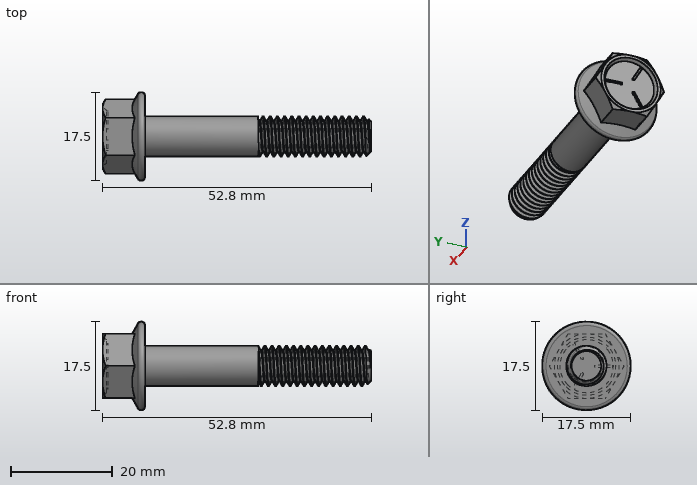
import cadquery as cq
import math


inch = 25.4

major_radius = 5 / 16 * inch / 2
shank_length = 1.75 * inch
thread_length = shank_length / 2
thread_start = shank_length - thread_length
threads_per_inch = 18
pitch = inch / threads_per_inch
flank_angle = math.radians(30)
crest_width = pitch / 8
root_width = pitch / 8
thread_depth = (pitch - crest_width - root_width) / 2 / math.tan(flank_angle)
minor_radius = major_radius - thread_depth
first_groove_offset = 0.26
tip_radius = 2.9
tip_chamfer = major_radius - tip_radius

overall_length = 52.78
head_height = overall_length - shank_length
across_flats = 0.5 * inch
across_corners = across_flats / math.cos(math.radians(30))
head_face_radius = across_flats / 2
head_chamfer_angle = math.radians(30)

flange_radius = 11 / 16 * inch / 2
rim_radius = 0.75
flange_slope = math.radians(30)

recess_mouth_radius = 5.72
recess_floor_radius = 5.23
recess_depth = 0.68
mark_count = 3
mark_inner_radius = 1.52
mark_outer_radius = 5.06
mark_width = 0.46
mark_depth = 0.3


def revolve_about_x(profile):
    """Turn a closed profile drawn as (X, radius) about the bolt axis."""
    return profile.revolve(360, (0, 0, 0), (1, 0, 0))


def make_hex():
    """Hex prism with two corners on the Y axis and a chamfered outer end."""
    prism = cq.Workplane("YZ").polygon(6, across_corners).extrude(-head_height)
    outer_radius = across_corners
    chamfer_depth = (outer_radius - head_face_radius) * math.tan(head_chamfer_angle)
    envelope = revolve_about_x(
        cq.Workplane("XY")
        .moveTo(-head_height, 0)
        .lineTo(-head_height, head_face_radius)
        .lineTo(-head_height + chamfer_depth, outer_radius)
        .lineTo(0, outer_radius)
        .lineTo(0, 0)
        .close()
    )
    return prism.intersect(envelope)


def make_flange():
    """Conical flange whose rounded rim is tangent to the cone and the bearing face."""
    rim_center_radius = flange_radius - rim_radius
    cone_edge_x = -rim_radius * (1 + math.cos(flange_slope))
    cone_edge_radius = rim_center_radius + rim_radius * math.sin(flange_slope)
    cone_apex_x = cone_edge_x - cone_edge_radius * math.tan(flange_slope)
    return revolve_about_x(
        cq.Workplane("XY")
        .lineTo(0, rim_center_radius)
        .threePointArc((-rim_radius, flange_radius), (cone_edge_x, cone_edge_radius))
        .lineTo(cone_apex_x, 0)
        .close()
    )


def make_recess():
    """Tapered round recess in the outer face of the head."""
    return revolve_about_x(
        cq.Workplane("XY")
        .moveTo(-head_height, 0)
        .lineTo(-head_height, recess_mouth_radius)
        .lineTo(-head_height + recess_depth, recess_floor_radius)
        .lineTo(-head_height + recess_depth, 0)
        .close()
    )


def make_mark(angle):
    """Cutter for a radial groove in the recess floor, with a rounded inner end."""
    half_width = mark_width / 2
    round_center = mark_inner_radius + half_width
    slot = (
        cq.Workplane("YZ", origin=(-head_height + recess_depth, 0, 0))
        .moveTo(mark_outer_radius, half_width)
        .lineTo(round_center, half_width)
        .threePointArc((mark_inner_radius, 0), (round_center, -half_width))
        .lineTo(mark_outer_radius, -half_width)
        .close()
        .extrude(mark_depth)
    )
    return slot.rotate((0, 0, 0), (1, 0, 0), angle)


def make_thread_groove():
    """Right-handed V groove with a flat root, running along +Z past both thread ends."""
    clearance = 0.05
    root_half = root_width / 2
    outer_half = root_half + (thread_depth + clearance) * math.tan(flank_angle)
    outer_radius = major_radius + clearance
    helix_length = thread_length + 2 * pitch
    helix = cq.Workplane(cq.Wire.makeHelix(pitch, helix_length, minor_radius))
    groove = (
        cq.Workplane("XZ")
        .moveTo(minor_radius, -root_half)
        .lineTo(outer_radius, -outer_half)
        .lineTo(outer_radius, outer_half)
        .lineTo(minor_radius, root_half)
        .close()
        .sweep(helix, isFrenet=True)
    )
    return groove.translate((0, 0, first_groove_offset - pitch))


def make_threaded_end():
    """Threaded end with a 45 degree chamfered tip, starting square at the plain shank."""
    overlap = 3 * pitch
    seam_angle = 37
    rod = (
        cq.Workplane("XY", origin=(0, 0, -overlap))
        .circle(major_radius)
        .extrude(thread_length + 2 * overlap)
        .rotate((0, 0, 0), (0, 0, 1), seam_angle)
    )
    margin = 1
    envelope = (
        cq.Workplane("XY")
        .circle(major_radius + margin)
        .extrude(thread_length)
        .faces(">Z")
        .chamfer(tip_chamfer + margin)
    )
    threaded = rod.cut(make_thread_groove()).intersect(envelope)
    along_bolt = threaded.rotate((0, 0, 0), (1, 1, 1), 120)
    return along_bolt.translate((thread_start, 0, 0))


head = make_hex().union(make_flange()).cut(make_recess())
for index in range(mark_count):
    head = head.cut(make_mark(index * 360 / mark_count))

shank = cq.Workplane("YZ").circle(major_radius).extrude(thread_start)

result = head.union(shank).union(make_threaded_end())